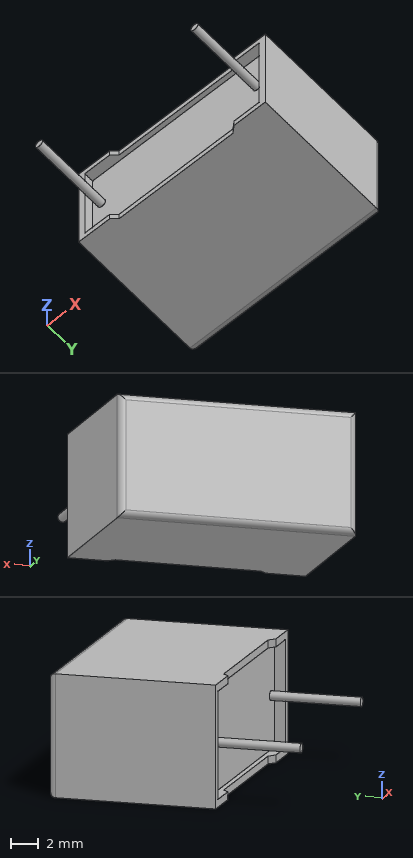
import cadquery as cq

total_depth = 18.6
case_width = 18.0
case_height = 9.2

lead_projection = 6.0
case_depth = total_depth - lead_projection
wall = 0.6
back_edge_radius = 0.5

notch_depth = 0.45
notch_rim_width = 12.0
notch_floor_width = 10.97

fill_recess = 0.84

lead_diameter = 0.7
lead_pitch = 15.0

cavity_width = case_width - 2 * wall
cavity_height = case_height - 2 * wall
cavity_depth = case_depth - wall


def block(width, depth, height, front_y):
    """Box centred on X and Z whose front face lies at front_y."""
    return cq.Workplane("XY").box(width, depth, height, centered=(True, False, True)).translate((0, front_y, 0))


def make_rim_notch():
    """Trapezoidal cutter running through the full case height."""
    return (
        cq.Workplane("XY")
        .moveTo(-notch_rim_width / 2, 0)
        .lineTo(notch_rim_width / 2, 0)
        .lineTo(notch_floor_width / 2, notch_depth)
        .lineTo(-notch_floor_width / 2, notch_depth)
        .close()
        .extrude(case_height / 2, both=True)
    )


def make_case():
    """Open-fronted box with rounded back edges and a notched rim."""
    shell = block(case_width, case_depth, case_height, 0).faces(">Y").edges().fillet(back_edge_radius)
    cavity = block(cavity_width, cavity_depth, cavity_height, 0)
    return shell.cut(cavity).cut(make_rim_notch())


def make_fill():
    """Solid block filling the cavity behind the recess."""
    return block(cavity_width, cavity_depth - fill_recess, cavity_height, fill_recess)


def make_lead(x):
    """Straight round wire starting on the front face of the fill."""
    return (
        cq.Workplane("XZ", origin=(x, fill_recess, 0))
        .circle(lead_diameter / 2)
        .extrude(fill_recess + lead_projection)
    )


case = make_case()
fill = make_fill()
leads = [make_lead(side * lead_pitch / 2) for side in (-1, 1)]

result = cq.Compound.makeCompound([case.val(), fill.val(), *[lead.val() for lead in leads]])